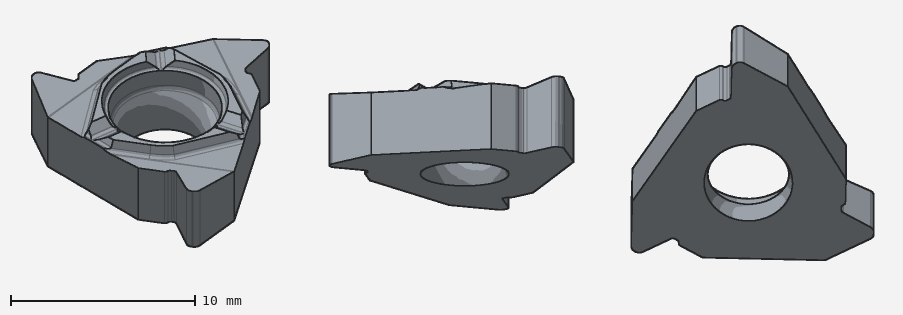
import cadquery as cq
import math

ARM_ANGLES = (0, 120, 240)

side_distance = 4.76
corner_height = 4.27
tip_height = 6.89
tip_radius = 0.4
tip_flat = 0.07
flank_angle = 60
shoulder_height = 5.3
relief_depth = 0.21
relief_flat = 0.15

total_height = 4.1
floor_height = 3.52
ledge_height = 3.63
ramp_angle = 10

front_distance = 3.73
back_distance = 3.63
back_angle = 122.3
end_distance = 4.27
wall_draft = 28
wall_blend = 0.3
fine_blend = 0.2

groove_angle = 166
groove_half_width = 0.78
groove_wall_angle = 37
groove_blend = 0.4

recess_radius = 3.43
recess_draft = 20
counterbore_radius = 3.09
counterbore_draft = 7
counterbore_floor = 2.7
seat_blend = 0.45
seat_angle = 46
bore_radius = 2.2

margin = 3.95


def tangent(degrees):
    return math.tan(math.radians(degrees))


def polar(radius, degrees):
    angle = math.radians(degrees)
    return (radius * math.cos(angle), radius * math.sin(angle))


def offset(point, radius, degrees):
    dx, dy = polar(radius, degrees)
    return (point[0] + dx, point[1] + dy)


def turn(point, degrees):
    """Rotate a plan point about the axis."""
    return offset((0, 0), math.hypot(*point), math.degrees(math.atan2(point[1], point[0])) + degrees)


def meet(distance_1, normal_1, distance_2, normal_2):
    """Crossing point of two lines given by distance from the axis and normal direction."""
    a, b = polar(1, normal_1)
    c, d = polar(1, normal_2)
    det = a * d - b * c
    return ((distance_1 * d - distance_2 * b) / det, (distance_2 * a - distance_1 * c) / det)


def repeat(solid):
    """Copies of a solid at all three arms, joined."""
    copies = [solid.rotate((0, 0, 0), (0, 0, 1), angle) for angle in ARM_ANGLES]
    return copies[0].union(copies[1]).union(copies[2])


def outline():
    """Plan outline, run clockwise from the tooth of the +Y arm."""
    left_normal = 90 + flank_angle
    right_normal = 180 - left_normal
    nx, ny = polar(1, left_normal)
    rx, ry = polar(1, right_normal)
    corner = (-side_distance, corner_height)

    tip_y = tip_height - tip_radius
    left_flank = corner[0] * nx + corner[1] * ny
    tip_left = ((left_flank + -tip_radius - tip_y * ny) / nx, tip_y)
    tip_right = (tip_left[0] + tip_flat, tip_y)

    right_flank = tip_right[0] * rx + tip_right[1] * ry + tip_radius
    relief_bottom = shoulder_height - relief_depth
    relief_y = relief_bottom + fine_blend
    relief_left = ((right_flank + fine_blend - relief_y * ry) / rx, relief_y)
    relief_right = (relief_left[0] + relief_flat, relief_y)
    climb = math.degrees(math.acos(1 - relief_depth / (2 * fine_blend)))
    climb_middle = offset(relief_right, fine_blend, climb - 90)
    climb_end = (2 * climb_middle[0] - relief_right[0], shoulder_height)
    shoulder_end = meet(shoulder_height, 90, side_distance, 60)

    wire = cq.Workplane("XY").moveTo(*corner)
    for arm in (0, -120, -240):
        if arm:
            wire = wire.lineTo(*turn(corner, arm))
        wire = (
            wire.lineTo(*turn(offset(tip_left, tip_radius, left_normal), arm))
            .tangentArcPoint(turn(offset(tip_left, tip_radius, 90), arm), relative=False)
            .lineTo(*turn(offset(tip_right, tip_radius, 90), arm))
            .tangentArcPoint(turn(offset(tip_right, tip_radius, right_normal), arm), relative=False)
            .lineTo(*turn(offset(relief_left, fine_blend, right_normal + 180), arm))
            .tangentArcPoint(turn(offset(relief_left, fine_blend, -90), arm), relative=False)
            .lineTo(*turn(offset(relief_right, fine_blend, -90), arm))
            .tangentArcPoint(turn(climb_middle, arm), relative=False)
            .tangentArcPoint(turn(climb_end, arm), relative=False)
            .lineTo(*turn(shoulder_end, arm))
        )
    return wire.close()


def tooth_ramp():
    """Rising top of the +Y tooth, blended tangentially into the floor at the crease."""
    reach = wall_blend * tangent(ramp_angle / 2)
    start = (corner_height - reach, floor_height)
    blend_end = offset((corner_height, floor_height), reach, ramp_angle)
    end_y = tip_height + margin
    end_z = floor_height + (end_y - corner_height) * tangent(ramp_angle)
    return (
        cq.Workplane("YZ")
        .moveTo(start[0], 0)
        .lineTo(*start)
        .threePointArc(
            offset((start[0], floor_height + wall_blend), wall_blend, ramp_angle / 2 - 90), blend_end
        )
        .lineTo(end_y, end_z)
        .lineTo(end_y, 0)
        .close()
        .extrude(2 * tip_height, both=True)
    )


def foot_blend(drop, draft, radius):
    """Runs of a drafted wall and of the blend below it, and the blend's height."""
    slope = math.radians(90 - draft)
    blend_height = radius * (1 - math.cos(slope))
    wall_run = (drop - blend_height) * tangent(draft)
    return wall_run, radius * math.sin(slope), blend_height


step = total_height - ledge_height


def outer_profile(distance, base_height, radius):
    """Section of the space outside a wall, from its drafted face and foot blend outwards along +X."""
    wall_run, blend_run, blend_height = foot_blend(total_height - base_height, wall_draft, radius)
    wall_foot = (distance + wall_run, base_height + blend_height)
    return (
        cq.Workplane("XZ")
        .moveTo(distance, total_height)
        .lineTo(*wall_foot)
        .tangentArcPoint((wall_foot[0] + blend_run, base_height), relative=False)
        .lineTo(tip_height + margin, base_height)
        .lineTo(tip_height + margin, total_height)
        .close()
    )


def face_towards(solid, degrees):
    """Turn a solid built along +X to the given direction."""
    return solid.rotate((0, 0, 0), (0, 0, 1), degrees)


def plateau_surround():
    """Space around the plateau of the +Y arm: its front edge, rounded corner and oblique edge."""
    front = outer_profile(front_distance, floor_height, wall_blend).extrude(tip_height)
    corner = outer_profile(front_distance, floor_height, wall_blend).revolve(
        back_angle - 90, (0, 0, 0), (0, 1, 0)
    )
    back = outer_profile(back_distance, floor_height, wall_blend).extrude(tip_height, both=True)
    front = face_towards(front, 90)
    corner = face_towards(corner, 90)
    back = face_towards(back, back_angle)
    return front.union(corner).union(back)


def end_ledge():
    """Space above the ledge between the plateau and the -X side."""
    profile = outer_profile(end_distance, ledge_height, fine_blend)
    return face_towards(profile.extrude(corner_height / 2, both=True), 180)


def radial_groove():
    """Blended V groove crossing the plateau rim."""
    wall_run, blend_run, blend_height = foot_blend(step, 90 - groove_wall_angle, groove_blend)
    wall_foot = (groove_half_width - wall_run, ledge_height + blend_height)
    floor_half = wall_foot[0] - blend_run
    return (
        cq.Workplane("YZ")
        .moveTo(groove_half_width, total_height)
        .lineTo(*wall_foot)
        .tangentArcPoint((floor_half, ledge_height), relative=False)
        .lineTo(0, ledge_height)
        .lineTo(0, total_height)
        .close()
        .extrude(tip_height)
        .mirror("XZ", union=True)
        .rotate((0, 0, 0), (0, 0, 1), groove_angle)
    )


def screw_seat():
    """Recess, counterbore and rounded through seat as one turned cut."""
    wall_run, blend_run, blend_height = foot_blend(step, recess_draft, fine_blend)
    wall_foot = (recess_radius - wall_run, ledge_height + blend_height)
    draft_run = (ledge_height - counterbore_floor) * tangent(counterbore_draft)
    bottom = (counterbore_radius - draft_run, counterbore_floor)
    blend_center = offset(bottom, seat_blend, 180 - counterbore_draft)
    knee = offset(blend_center, seat_blend, -seat_angle)
    seat_radius = (knee[0] - bore_radius) / (1 - math.cos(math.radians(seat_angle)))
    seat_center = offset(knee, seat_radius, -seat_angle)
    seat_end = (seat_center[0] - math.sqrt(seat_radius**2 - seat_center[1] ** 2), 0)
    return (
        cq.Workplane("XZ")
        .moveTo(0, total_height)
        .lineTo(recess_radius, total_height)
        .lineTo(*wall_foot)
        .tangentArcPoint((wall_foot[0] - blend_run, ledge_height), relative=False)
        .lineTo(counterbore_radius, ledge_height)
        .lineTo(*bottom)
        .tangentArcPoint(knee, relative=False)
        .threePointArc((bore_radius, seat_center[1]), seat_end)
        .lineTo(0, 0)
        .close()
        .revolve(360, (0, 0, 0), (0, 1, 0))
    )


blank = outline().extrude(total_height)
teeth = repeat(tooth_ramp()).intersect(blank)
result = (
    blank.cut(repeat(plateau_surround()))
    .cut(repeat(end_ledge()))
    .cut(repeat(radial_groove()))
    .cut(screw_seat())
    .union(teeth)
)